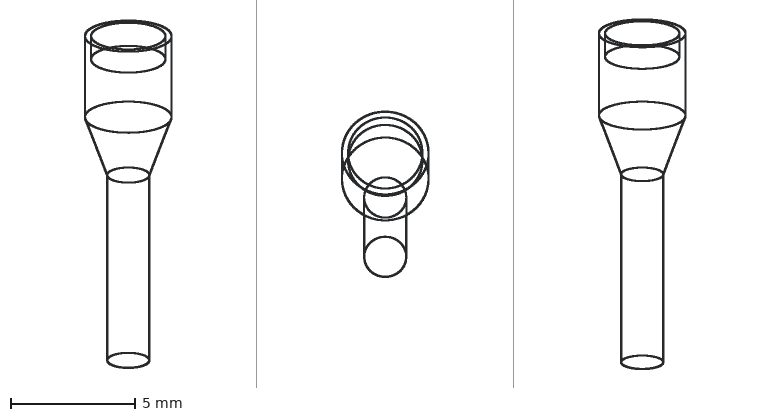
import cadquery as cq

total_height = 14.0
head_diameter = 3.5
head_height = 3.5
stem_diameter = 1.7
stem_height = 8.0

recess_diameter = 3.0
recess_depth = 1.0

head_radius = head_diameter / 2
stem_radius = stem_diameter / 2
recess_radius = recess_diameter / 2
cone_top = total_height - head_height
recess_floor = total_height - recess_depth


def make_body():
    """Stem, cone and head turned from one half profile on the -X side."""
    return (
        cq.Workplane("XZ")
        .moveTo(0, 0)
        .lineTo(-stem_radius, 0)
        .lineTo(-stem_radius, stem_height)
        .lineTo(-head_radius, cone_top)
        .lineTo(-head_radius, total_height)
        .lineTo(0, total_height)
        .close()
        .revolve(360, (0, 0, 0), (0, 1, 0))
    )


def make_recess():
    """Flat-bottomed round recess open at the top of the head."""
    return (
        cq.Workplane("XY")
        .workplane(offset=recess_floor)
        .circle(recess_radius)
        .extrude(recess_depth)
    )


result = make_body().cut(make_recess())